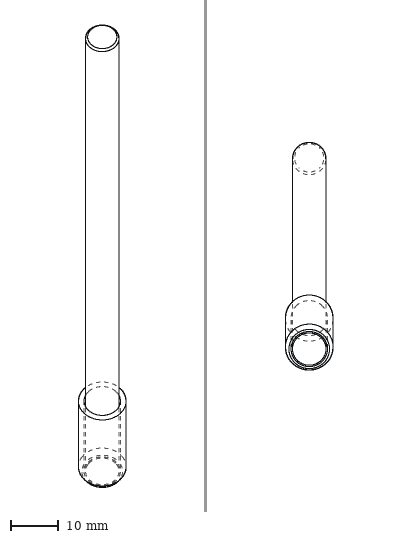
import cadquery as cq

total_length = 150.0

sleeve_diameter = 10.0
sleeve_length = 24.3
sleeve_chamfer_width = 0.8
sleeve_chamfer_height = 1.5

rod_diameter = 7.0
rod_chamfer = 0.5

radial_gap = 0.3
bore_diameter = rod_diameter + 2 * radial_gap


def make_sleeve():
    """Tube with a clear through bore and a steep chamfer on its bottom outer edge."""
    outer_radius = sleeve_diameter / 2
    bore_radius = bore_diameter / 2
    profile = (
        cq.Workplane("XZ")
        .moveTo(bore_radius, 0)
        .lineTo(outer_radius - sleeve_chamfer_width, 0)
        .lineTo(outer_radius, sleeve_chamfer_height)
        .lineTo(outer_radius, sleeve_length)
        .lineTo(bore_radius, sleeve_length)
        .close()
    )
    return profile.revolve(360, (0, 0, 0), (0, 1, 0))


def make_rod():
    """Full-length round rod with a small chamfer on its top edge."""
    rod = cq.Workplane("XY").circle(rod_diameter / 2).extrude(total_length)
    return rod.faces(">Z").chamfer(rod_chamfer)


sleeve = make_sleeve()
rod = make_rod()

result = cq.Compound.makeCompound([sleeve.val(), rod.val()])